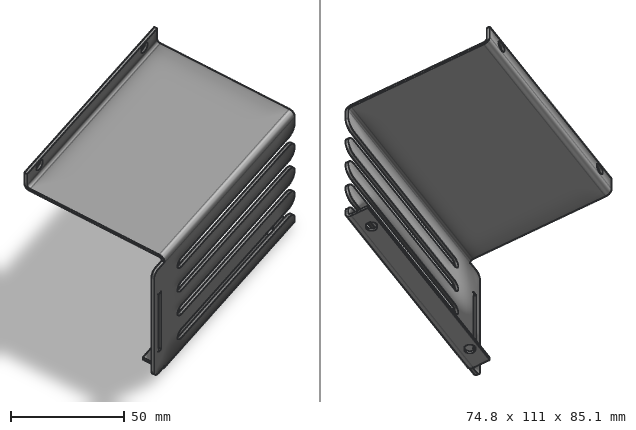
import cadquery as cq

width = 74.8
length = 111.0
height = 85.1

sheet = 1.5
bend_inner = 1.5
bend_outer = bend_inner + sheet
plate_top = 76.4
foot_width = 11.7

tab_length = 8.3
tab_corner_radius = 3.4
wall_bottom = bend_outer
wall_top = plate_top - bend_outer

slot_count = 4
slot_width = 6.0
slot_pitch = 16.0
slot_end_y = 18.5
pattern_center_z = 36.6
finger_radius = (slot_pitch - slot_width) / 2

window_width = 2.1
window_height = 38.7
window_center_y = 4.5

hole_diameter = 5.1
hole_end_inset = 10.0
lip_hole_inset = 3.4
foot_hole_inset = 4.2
hole_ys = (tab_length + hole_end_inset, length - hole_end_inset)

wall_inner_x = width - sheet


def bent_sheet():
    """Extrude the lip, top plate, side wall and foot as one bent profile."""
    profile = (
        cq.Workplane("XZ", origin=(0, length, 0))
        .moveTo(0, height)
        .lineTo(0, plate_top - sheet + bend_outer)
        .radiusArc((bend_outer, plate_top - sheet), -bend_outer)
        .lineTo(width - bend_outer, plate_top - sheet)
        .radiusArc((wall_inner_x, wall_top), bend_inner)
        .lineTo(wall_inner_x, wall_bottom)
        .radiusArc((width - bend_outer, sheet), bend_inner)
        .lineTo(width - foot_width, sheet)
        .lineTo(width - foot_width, 0)
        .lineTo(width - bend_outer, 0)
        .radiusArc((width, wall_bottom), -bend_outer)
        .lineTo(width, wall_top)
        .radiusArc((width - bend_outer, plate_top), -bend_outer)
        .lineTo(bend_outer, plate_top)
        .radiusArc((sheet, plate_top + bend_inner), bend_inner)
        .lineTo(sheet, height)
        .close()
    )
    return profile.extrude(length - tab_length)


def wall_sketch():
    """Start a sketch in Y and Z on the inner face of the side wall."""
    return cq.Workplane("YZ", origin=(wall_inner_x, 0, 0))


def front_tab():
    """Flat extension of the side wall with rounded front corners."""
    tab_height = wall_top - wall_bottom
    tab = (
        wall_sketch()
        .moveTo(0, wall_bottom)
        .rect(2 * tab_length, tab_height, centered=(False, False))
        .extrude(sheet)
    )
    return tab.edges("|X and <Y").fillet(tab_corner_radius)


def finger_slot(center_z):
    """Open slot with a round inner end and a mouth flared by the finger ends."""
    half = slot_width / 2
    straight_start = slot_end_y + half
    mouth_start = length - finger_radius
    mouth_half = slot_pitch / 2
    return (
        wall_sketch()
        .moveTo(straight_start, center_z + half)
        .lineTo(mouth_start, center_z + half)
        .radiusArc((length, center_z + mouth_half), -finger_radius)
        .lineTo(length, center_z - mouth_half)
        .radiusArc((mouth_start, center_z - half), -finger_radius)
        .lineTo(straight_start, center_z - half)
        .radiusArc((straight_start, center_z + half), half)
        .close()
        .extrude(sheet)
    )


def tab_window():
    """Narrow rectangular cutter through the tab."""
    return (
        wall_sketch()
        .center(window_center_y, pattern_center_z)
        .rect(window_width, window_height)
        .extrude(sheet)
    )


def lip_holes():
    """Hole cutters through the upright lip."""
    points = [(y, height - lip_hole_inset) for y in hole_ys]
    return cq.Workplane("YZ").pushPoints(points).circle(hole_diameter / 2).extrude(sheet)


def foot_holes():
    """Hole cutters through the foot."""
    points = [(width - foot_width + foot_hole_inset, y) for y in hole_ys]
    return cq.Workplane("XY").pushPoints(points).circle(hole_diameter / 2).extrude(sheet)


result = bent_sheet().union(front_tab())
for index in range(slot_count):
    offset = (index - (slot_count - 1) / 2) * slot_pitch
    result = result.cut(finger_slot(pattern_center_z + offset))
result = result.cut(tab_window()).cut(lip_holes()).cut(foot_holes())